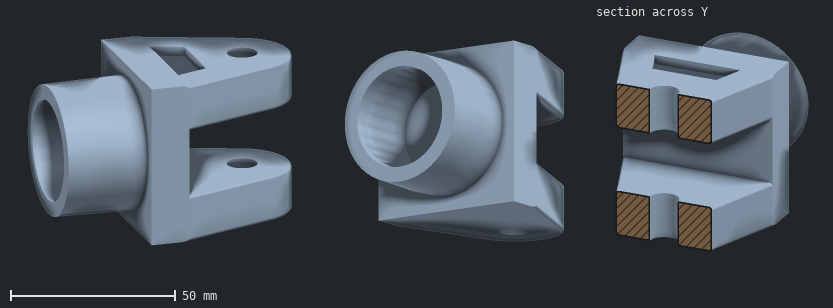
import math

import cadquery as cq

BODY_WIDTH = 50.0
BODY_HEIGHT = 50.0
BLOCK_DEPTH = 12.0

ARM_GAP = 21.0
ARM_THICKNESS = (BODY_HEIGHT - ARM_GAP) / 2
EYE_DISTANCE = 37.0
EYE_RADIUS = 15.0
PIN_HOLE_DIAMETER = 9.5
ARM_EDGE_FILLET = 1.0

RECESS_MARGIN = 10.0
RECESS_LENGTH = 10.0
RECESS_DEPTH = 3.0

STUB_LENGTH = 25.0
STUB_END_DIAMETER = 40.6
BORE_MOUTH_DIAMETER = 31.3
BORE_DEPTH = STUB_LENGTH
DRAFT_ANGLE = 1.0

HALF_WIDTH = BODY_WIDTH / 2
EYE_END = EYE_DISTANCE + EYE_RADIUS

EYE_CENTRE_OFFSET = EYE_DISTANCE - BLOCK_DEPTH
CORNER_TO_EYE = math.hypot(HALF_WIDTH, EYE_CENTRE_OFFSET)
SIDE_LEAN = math.atan2(HALF_WIDTH, EYE_CENTRE_OFFSET) - math.asin(EYE_RADIUS / CORNER_TO_EYE)


def make_arm(bottom_z):
    """Tapered, round-ended plate with rounded edges, trimmed to the body width.

    The straight sides keep their lean down to Y = 0, so that the edge fillets
    run out on the flat sides of the block.
    """
    tangent_x = EYE_RADIUS * math.cos(SIDE_LEAN)
    tangent_y = EYE_DISTANCE + EYE_RADIUS * math.sin(SIDE_LEAN)
    root_x = HALF_WIDTH + BLOCK_DEPTH * math.tan(SIDE_LEAN)
    plate = (
        cq.Workplane("XY", origin=(0, 0, bottom_z))
        .moveTo(-root_x, 0)
        .lineTo(root_x, 0)
        .lineTo(tangent_x, tangent_y)
        .threePointArc((0, EYE_END), (-tangent_x, tangent_y))
        .close()
        .extrude(ARM_THICKNESS)
    )
    plate = plate.edges("#Z").edges("not <Y").fillet(ARM_EDGE_FILLET)
    trim = cq.Workplane("XY").box(BODY_WIDTH, EYE_END, BODY_HEIGHT, centered=(True, False, True))
    return plate.intersect(trim)


def make_core():
    """Block between the arms, reaching past their inner edge fillets."""
    core_height = ARM_GAP + 2 * ARM_EDGE_FILLET
    return cq.Workplane("XY").box(BODY_WIDTH, BLOCK_DEPTH, core_height, centered=(True, False, True))


def make_pin_hole():
    """Cylinder through both arms at the eye centre."""
    return (
        cq.Workplane("XY", origin=(0, EYE_DISTANCE, -BODY_HEIGHT / 2))
        .circle(PIN_HOLE_DIAMETER / 2)
        .extrude(BODY_HEIGHT)
    )


def make_recess():
    """Trapezoidal pocket, level with the rear face of the block at its wide end."""
    wide_half = HALF_WIDTH - RECESS_MARGIN / math.cos(SIDE_LEAN)
    narrow_half = wide_half - RECESS_LENGTH * math.tan(SIDE_LEAN)
    rear_y = BLOCK_DEPTH + RECESS_LENGTH
    corners = [
        (-wide_half, BLOCK_DEPTH),
        (wide_half, BLOCK_DEPTH),
        (narrow_half, rear_y),
        (-narrow_half, rear_y),
    ]
    floor = cq.Workplane("XY", origin=(0, 0, BODY_HEIGHT / 2 - RECESS_DEPTH))
    return floor.polyline(corners).close().extrude(RECESS_DEPTH)


def make_cone(start_diameter, length, taper):
    """Drafted round solid running in +Y from the free end of the stub."""
    end_plane = cq.Workplane("XZ", origin=(0, -STUB_LENGTH, 0))
    return end_plane.circle(start_diameter / 2).extrude(-length, taper=taper)


stub = make_cone(STUB_END_DIAMETER, STUB_LENGTH, -DRAFT_ANGLE)
bore = make_cone(BORE_MOUTH_DIAMETER, BORE_DEPTH, DRAFT_ANGLE)

upper_arm = make_arm(ARM_GAP / 2)
lower_arm = make_arm(-BODY_HEIGHT / 2)
clevis = make_core().union(upper_arm).union(lower_arm)

result = clevis.union(stub).cut(bore).cut(make_pin_hole()).cut(make_recess())